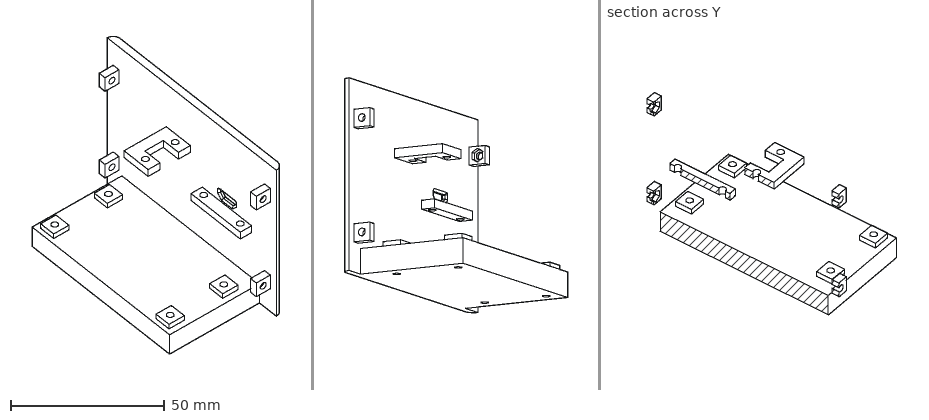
import cadquery as cq
import math


panel_width = 85.0
panel_height = 64.0
panel_thickness = 3.0

hole_diameter = 2.5

base_left = 7.35
base_width = 69.2
base_depth = 38.5
base_height = 8.5
standoff_size = 6.55
standoff_height = 2.0
standoff_spacing_x = 58.0
standoff_spacing_y = 23.0
standoff_front_margin = 5.0

lug_side_inset = 3.0
lug_thickness = 2.9
lug_depth = 6.0
lug_height = 6.0
lug_end_inset = 10.0
nut_across_corners = 4.5
nut_pocket_depth = 1.6

bracket_left = 29.7
bracket_width = 12.1
bracket_depth = 18.1
bracket_bottom = 42.3
bracket_spine = 4.5
bracket_arm = 5.1
bracket_hole_from_left = 7.6
bracket_hole_from_end = 2.7

shelf_left = 47.8
shelf_width = 24.8
shelf_depth = 4.85
shelf_bottom = 28.2
shelf_hole_inset = 3.2
shelf_hole_from_panel = 2.15

plate_thickness = 3.0

port_center_x = 60.2
port_top = 35.65
port_width = 7.9
port_height = 2.9
port_floor_width = 4.8
port_side_height = 1.3
port_corner = 0.1
port_flare_corner = 0.6
port_flare = 0.8
port_flare_depth = 0.6
port_wall = 1.5
port_recess_margin = 2.0


def block(left, width, depth, bottom, height):
    """Box standing on the panel's inner face and reaching towards -Y."""
    return cq.Workplane("XY").box(width, depth, height, centered=False).translate((left, -depth, bottom))


def vertical_holes(points, bottom, height):
    return (
        cq.Workplane("XY")
        .workplane(offset=bottom)
        .pushPoints(points)
        .circle(hole_diameter / 2)
        .extrude(height)
    )


def make_panel():
    """Upright panel whose outer vertical edges are quarter rounds of the full thickness."""
    diagonal = panel_thickness * math.sqrt(0.5)
    return (
        cq.Workplane("XY")
        .lineTo(panel_width, 0)
        .threePointArc(
            (panel_width - panel_thickness + diagonal, diagonal),
            (panel_width - panel_thickness, panel_thickness),
        )
        .lineTo(panel_thickness, panel_thickness)
        .threePointArc((panel_thickness - diagonal, diagonal), (0, 0))
        .close()
        .extrude(panel_height)
    )


def make_base():
    left = base_left + (base_width - standoff_spacing_x) / 2
    front = standoff_front_margin - base_depth
    points = [
        (left + i * standoff_spacing_x, front + j * standoff_spacing_y)
        for i in range(2)
        for j in range(2)
    ]
    standoffs = (
        cq.Workplane("XY")
        .workplane(offset=base_height)
        .pushPoints(points)
        .rect(standoff_size, standoff_size)
        .extrude(standoff_height)
    )
    base = block(base_left, base_width, base_depth, 0, base_height).union(standoffs)
    return base.cut(vertical_holes(points, 0, base_height + standoff_height))


def make_lug(left, bottom):
    """Lug with a cross hole along X."""
    lug = block(left, lug_thickness, lug_depth, bottom, lug_height)
    return lug.cut(lug_face(left, bottom).circle(hole_diameter / 2).extrude(lug_thickness))


def lug_face(left, bottom):
    """Work plane on a lug's -X face, centered on its hole and pointing towards +X."""
    return cq.Workplane("YZ", origin=(left, -lug_depth / 2, bottom + lug_height / 2))


def make_nut_pocket(left, bottom):
    """Hexagonal pocket with one corner pointing up."""
    face = lug_face(left, bottom).transformed(rotate=(0, 0, 90))
    return face.polygon(6, nut_across_corners).extrude(nut_pocket_depth)


def make_lugs():
    right = panel_width - lug_side_inset - lug_thickness
    lugs = cq.Workplane("XY")
    for bottom in (lug_end_inset, panel_height - lug_end_inset - lug_height):
        lugs = lugs.add(make_lug(lug_side_inset, bottom))
        lugs = lugs.add(make_lug(right, bottom).cut(make_nut_pocket(right, bottom)))
    return lugs.combine()


def make_bracket():
    bracket = block(bracket_left, bracket_width, bracket_depth, bracket_bottom, plate_thickness)
    notch = block(
        bracket_left + bracket_spine,
        bracket_width - bracket_spine,
        bracket_depth - 2 * bracket_arm,
        bracket_bottom,
        plate_thickness,
    ).translate((0, -bracket_arm, 0))
    hole_x = bracket_left + bracket_hole_from_left
    points = [(hole_x, -bracket_hole_from_end), (hole_x, bracket_hole_from_end - bracket_depth)]
    return bracket.cut(notch).cut(vertical_holes(points, bracket_bottom, plate_thickness))


def make_shelf():
    shelf = block(shelf_left, shelf_width, shelf_depth, shelf_bottom, plate_thickness)
    points = [
        (shelf_left + shelf_hole_inset, -shelf_hole_from_panel),
        (shelf_left + shelf_width - shelf_hole_inset, -shelf_hole_from_panel),
    ]
    return shelf.cut(vertical_holes(points, shelf_bottom, plate_thickness))


def port_outline(plane, offset, corner):
    """Connector outline grown outwards by offset, with its top corners cut off by corner."""
    bend_shift = offset * math.tan(math.pi / 8)
    half = port_width / 2 + offset
    half_floor = port_floor_width / 2 + bend_shift
    top = port_top + offset
    shoulder = port_top - port_side_height - bend_shift
    floor = port_top - port_height - offset
    right = [(half_floor, floor), (half, shoulder), (half, top - corner), (half - corner, top)]
    left = [(-x, z) for x, z in reversed(right)]
    return plane.polyline(right + left).close()


def make_port():
    """Connector opening: flared mouth, straight throat and a plug recess in the outer face."""
    plane = cq.Workplane("XZ", origin=(port_center_x, 0, 0))
    throat = port_outline(plane, 0, port_corner).extrude(-panel_thickness)
    mouth = port_outline(plane, port_flare, port_flare_corner)
    mouth = port_outline(mouth.workplane(offset=-port_flare_depth), 0, port_corner).loft(ruled=True)
    recess = cq.Workplane("XY").box(
        port_width + 2 * port_recess_margin,
        panel_thickness - port_wall,
        port_height + 2 * port_recess_margin,
        centered=(True, False, True),
    )
    recess = recess.translate((port_center_x, port_wall, port_top - port_height / 2))
    return throat.union(mouth).union(recess)


result = make_panel().cut(make_port())
for fitting in (make_base(), make_lugs(), make_bracket(), make_shelf()):
    result = result.union(fitting)